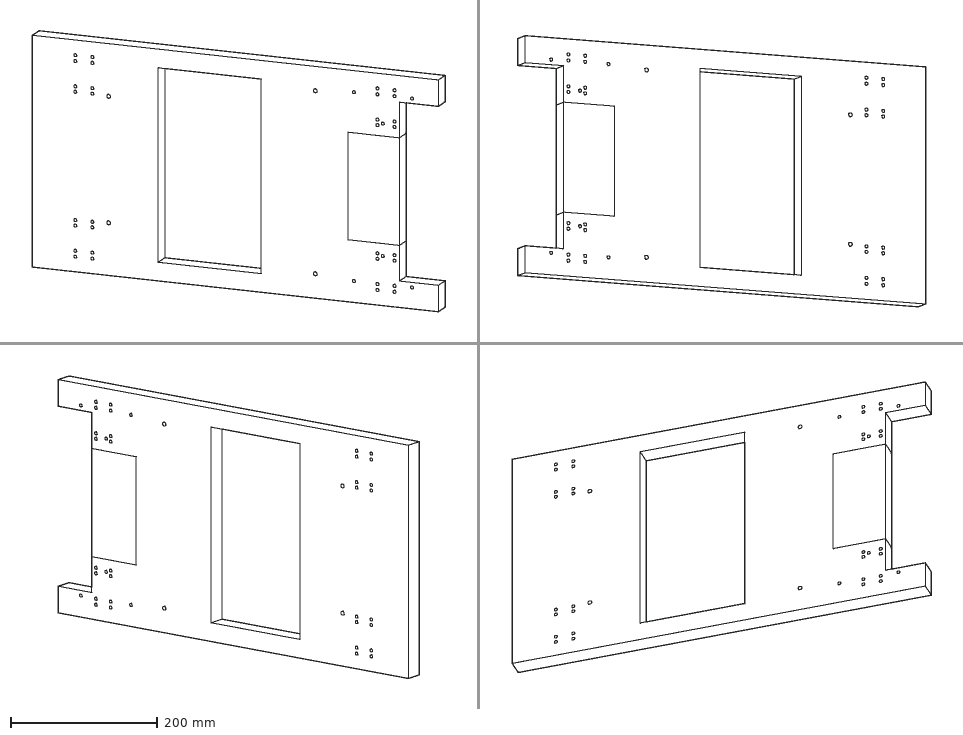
import cadquery as cq

BOARD_LENGTH = 600.0
BOARD_THICKNESS = 25.0
BOARD_HEIGHT = 330.0

WINDOW_LEFT = -114.0
WINDOW_LENGTH = 152.0
WINDOW_HEIGHT = 276.5

NOTCH_LEFT = 242.5
NOTCH_HEIGHT = 254.5

INSERT_LENGTH = 76.0
INSERT_HEIGHT = 153.0

MOUNT_HOLE_DIAMETER = 4.0
MOUNT_COLUMN_SPACING = 25.0
MOUNT_COLUMN_CENTERS = [-224.0, 222.5]
MOUNT_ROW_HEIGHTS = [91.0, 99.0, 135.0, 143.5]

LARGE_HOLE_DIAMETER = 5.5
LARGE_HOLES = [(-187.0, 90.0), (118.0, 130.0)]
SMALL_HOLE_DIAMETER = 4.0
SMALL_HOLES = [(175.0, 134.5), (218.0, 94.0), (261.0, 134.5)]


def block(left, length, height):
    """Block of full board thickness starting at X = left, centred on Y and Z."""
    return cq.Workplane("XY").box(length, BOARD_THICKNESS, height).translate((left + length / 2, 0, 0))


def mirrored(points):
    """The given (X, Z) points together with their mirror images about Z = 0."""
    return points + [(x, -z) for x, z in points]


def through_holes(points, diameter):
    """Cylinders along Y that cut holes right through the board."""
    return (
        cq.Workplane("XZ")
        .pushPoints(mirrored(points))
        .circle(diameter / 2)
        .extrude(BOARD_THICKNESS, both=True)
    )


def mount_hole_points():
    """Upper half of the mounting hole grids."""
    columns = [
        center + side * MOUNT_COLUMN_SPACING / 2
        for center in MOUNT_COLUMN_CENTERS
        for side in (-1, 1)
    ]
    return [(x, z) for x in columns for z in MOUNT_ROW_HEIGHTS]


def make_insert():
    return block(NOTCH_LEFT - INSERT_LENGTH, INSERT_LENGTH, INSERT_HEIGHT)


def make_board():
    board = block(-BOARD_LENGTH / 2, BOARD_LENGTH, BOARD_HEIGHT)
    board = board.cut(block(WINDOW_LEFT, WINDOW_LENGTH, WINDOW_HEIGHT))
    board = board.cut(block(NOTCH_LEFT, BOARD_LENGTH / 2 - NOTCH_LEFT, NOTCH_HEIGHT))
    board = board.cut(make_insert())
    board = board.cut(through_holes(mount_hole_points(), MOUNT_HOLE_DIAMETER))
    board = board.cut(through_holes(LARGE_HOLES, LARGE_HOLE_DIAMETER))
    return board.cut(through_holes(SMALL_HOLES, SMALL_HOLE_DIAMETER))


board = make_board()
insert = make_insert()

result = cq.Compound.makeCompound([board.val(), insert.val()])